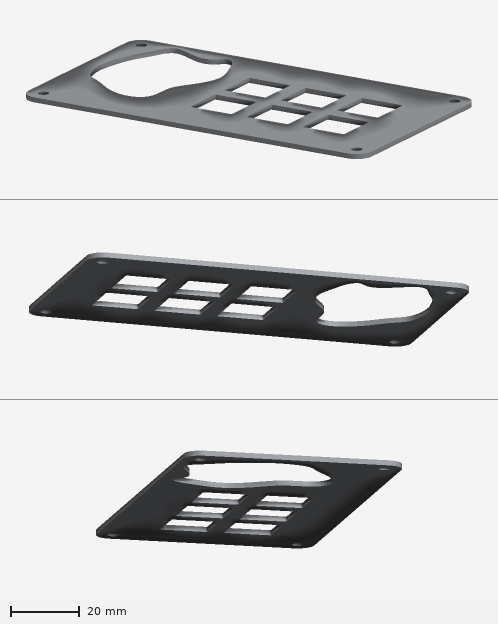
import cadquery as cq

length = 116
width = 65
thickness = 1.5
corner_radius = 5.0

hole_diameter = 3.4
hole_inset = corner_radius

window_size = 14.0
window_pitch = 19.0
window_columns = 3
window_rows = 2
grid_center = (16.4, -0.5)
window_corner_radius = 0.5

opening_points = [
    (-42.0, 29.7),
    (-37.5, 28.0),
    (-33.6, 26.1),
    (-30.0, 25.4),
    (-27.4, 26.3),
    (-24.1, 28.4),
    (-22.0, 26.9),
    (-19.8, 22.5),
    (-17.9, 17.2),
    (-16.9, 11.4),
    (-18.3, 6.1),
    (-21.0, 1.6),
    (-23.7, -2.8),
    (-24.5, -8.8),
    (-25.4, -14.6),
    (-27.3, -16.4),
    (-29.8, -17.0),
    (-34.7, -16.4),
    (-40.4, -13.2),
    (-45.9, -8.8),
    (-50.1, -5.8),
    (-52.2, -1.3),
    (-53.0, 4.6),
    (-52.2, 10.7),
    (-50.1, 18.1),
    (-46.7, 24.8),
    (-44.4, 28.9),
]


def make_plate():
    plate = cq.Workplane("XY").box(length, width, thickness)
    return plate.edges("|Z").fillet(corner_radius)


def make_screw_holes():
    spacing_x = length - 2 * hole_inset
    spacing_y = width - 2 * hole_inset
    corners = cq.Workplane("XY").rect(spacing_x, spacing_y, forConstruction=True).vertices()
    return corners.circle(hole_diameter / 2).extrude(thickness, both=True)


def make_window(row, column):
    x = grid_center[0] + (column - (window_columns - 1) / 2) * window_pitch
    y = grid_center[1] + (row - (window_rows - 1) / 2) * window_pitch
    window = cq.Workplane("XY").box(window_size, window_size, 2 * thickness)
    window = window.edges("|Z").fillet(window_corner_radius)
    return window.translate((x, y, 0))


def make_opening():
    outline = cq.Workplane("XY").spline(opening_points, periodic=True).close()
    return outline.extrude(thickness, both=True)


result = make_plate().cut(make_screw_holes()).cut(make_opening())
for row in range(window_rows):
    for column in range(window_columns):
        result = result.cut(make_window(row, column))